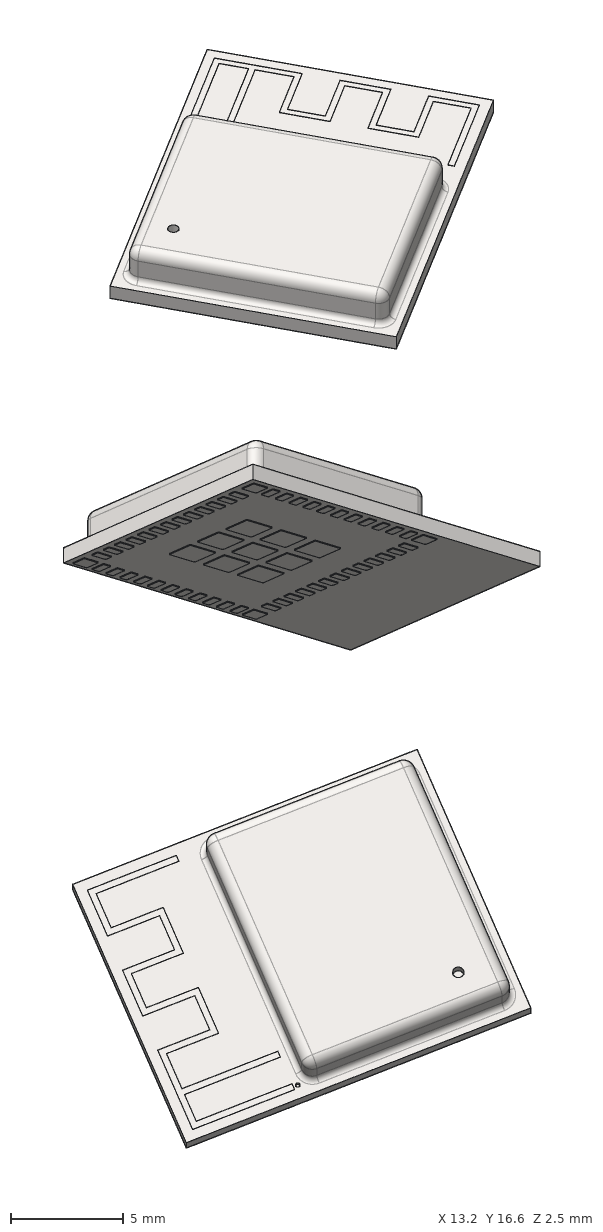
import cadquery as cq

board_width = 13.2
board_length = 16.6
board_thickness = 0.73
pad_thickness = 0.05

overall_height = 2.5
can_height = overall_height - board_thickness - pad_thickness
can_margin = 0.61
can_width = board_width - 2 * can_margin
can_length = 9.96
can_radius = 0.51
foot_radius = 0.28
can_center = (board_width / 2, can_margin + can_length / 2)

dot_diameter = 0.5
dot_depth = 0.5
dot_center = (2.22, 2.57)

trace_width = 0.3
trace_height = 0.02
ground_leg_x = 0.61
feed_leg_x = 2.27
meander_start_x = 4.37
meander_pitch = 2.05
meander_legs = 5
trace_top_y = board_length - 0.65
trace_low_y = board_length - 3.15
leg_end_y = board_length - 5.41
tail_end_y = board_length - 4.78

via_diameter = 0.2
via_depth = 0.22
via_center = (ground_leg_x, board_length - 5.63)

pad_width = 0.4
pad_length = 0.8
pad_pitch = 0.8
pad_edge_margin = 0.3
pads_per_row = 13
pads_per_column = 11
pad_field_width = board_width - 2 * pad_edge_margin
pad_field_length = 10.59
pad_field_center = (board_width / 2, pad_edge_margin + pad_field_length / 2)
ground_pad_size = 1.46
ground_pad_pitch = 1.98
ground_pads_per_side = 3


def slab(center, size_x, size_y, bottom, height):
    """Rectangular block centered on a point in plan."""
    return (
        cq.Workplane("XY", origin=(center[0], center[1], bottom))
        .rect(size_x, size_y)
        .extrude(height)
    )


def make_board():
    center = (board_width / 2, board_length / 2)
    return slab(center, board_width, board_length, -board_thickness, board_thickness)


def make_can():
    can = slab(can_center, can_width, can_length, 0, can_height)
    can = can.edges("|Z").fillet(can_radius)
    return can.faces(">Z").edges().fillet(can_radius)


def add_can_foot(body):
    """Blend the can walls into the board with a concave fillet."""
    reach = 0.02
    around_can = cq.selectors.BoxSelector(
        (can_margin - reach, can_margin - reach, -reach),
        (can_margin + can_width + reach, can_margin + can_length + reach, reach),
    )
    return body.edges(around_can).fillet(foot_radius)


def trace_segment(start, end):
    """Straight axis-aligned trace piece, squared off half a width beyond each end."""
    center = ((start[0] + end[0]) / 2, (start[1] + end[1]) / 2)
    size_x = abs(end[0] - start[0]) + trace_width
    size_y = abs(end[1] - start[1]) + trace_width
    return slab(center, size_x, size_y, 0, trace_height)


def make_antenna():
    half_width = trace_width / 2
    path = [(ground_leg_x, leg_end_y + half_width), (ground_leg_x, trace_top_y)]
    meander_x = [meander_start_x + i * meander_pitch for i in range(meander_legs)]
    level, other_level = trace_top_y, trace_low_y
    for x in meander_x[:-1]:
        path += [(x, level), (x, other_level)]
        level, other_level = other_level, level
    path += [(meander_x[-1], trace_top_y), (meander_x[-1], tail_end_y + half_width)]

    antenna = trace_segment((feed_leg_x, leg_end_y + half_width), (feed_leg_x, trace_top_y))
    for start, end in zip(path, path[1:]):
        antenna = antenna.union(trace_segment(start, end))
    return antenna


def blind_hole(center, top, diameter, depth):
    """Cylinder reaching down from a top face, to be cut away."""
    return cq.Workplane("XY", origin=(*center, top)).circle(diameter / 2).extrude(-depth)


def pad_grid(pitch_x, pitch_y, count_x, count_y, size_x, size_y):
    """Grid of rectangular pads hanging below the board, centered on the pad field."""
    return (
        cq.Workplane("XY", origin=(*pad_field_center, -board_thickness))
        .rarray(pitch_x, pitch_y, count_x, count_y)
        .rect(size_x, size_y)
        .extrude(-pad_thickness)
    )


def make_pads():
    span_x = pad_field_width - pad_length
    span_y = pad_field_length - pad_length
    rows = pad_grid(pad_pitch, span_y, pads_per_row, 2, pad_width, pad_length)
    columns = pad_grid(span_x, pad_pitch, 2, pads_per_column, pad_length, pad_width)
    corners = pad_grid(span_x, span_y, 2, 2, pad_length, pad_length)
    ground = pad_grid(
        ground_pad_pitch,
        ground_pad_pitch,
        ground_pads_per_side,
        ground_pads_per_side,
        ground_pad_size,
        ground_pad_size,
    )
    return [rows, columns, corners, ground]


result = add_can_foot(make_board().union(make_can())).union(make_antenna())
for pad_group in make_pads():
    result = result.union(pad_group)
result = result.cut(blind_hole(dot_center, can_height, dot_diameter, dot_depth))
result = result.cut(blind_hole(via_center, 0, via_diameter, via_depth))